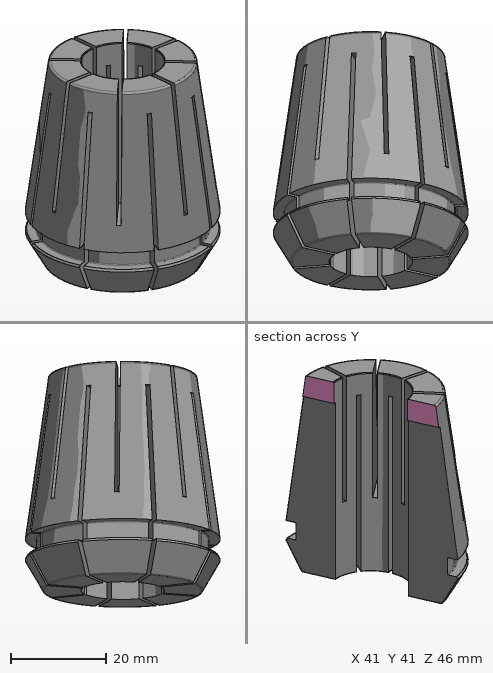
import cadquery as cq
import math

length = 46.0
outer_diameter = 41.0
bore_diameter = 17.5
bore_chamfer = 0.2
body_base_z = 11.05
body_taper_angle = 8.0
top_round_radius = 0.5
nose_angle = 30.0
nose_base_round = 0.4
nose_rim_height = 0.5
nose_rim_step = 0.28
groove_base_z = 7.05
groove_radius = 18.12
groove_fillet = 0.2
slot_width = 0.95
slots_per_end = 8
lower_slot_top_z = 40.95
upper_slot_floor_z = 17.0

max_radius = outer_diameter / 2
bore_radius = bore_diameter / 2
nose_rim_z = groove_base_z - nose_rim_height
nose_base_radius = max_radius - nose_rim_z * math.tan(math.radians(nose_angle))
taper_end_radius = max_radius - (length - body_base_z) * math.tan(math.radians(body_taper_angle))
groove_box = groove_radius + groove_fillet
slot_pitch = 360.0 / slots_per_end


def collet_blank():
    """Revolve the bored collet with its tapers and clamping groove, then round its edges."""
    blank = (
        cq.Workplane("XZ")
        .moveTo(bore_radius, 0)
        .lineTo(nose_base_radius, 0)
        .lineTo(max_radius, nose_rim_z)
        .lineTo(max_radius - nose_rim_step, groove_base_z)
        .lineTo(groove_radius, groove_base_z)
        .lineTo(groove_radius, body_base_z)
        .lineTo(max_radius, body_base_z)
        .lineTo(taper_end_radius, length)
        .lineTo(bore_radius + bore_chamfer, length)
        .lineTo(bore_radius, length - bore_chamfer)
        .close()
        .revolve(360, (0, 0, 0), (0, 1, 0))
    )
    outermost = cq.selectors.RadiusNthSelector(-1)
    blank = blank.faces(">Z").edges(outermost).fillet(top_round_radius)
    blank = blank.faces("<Z").edges(outermost).fillet(nose_base_round)
    groove_corners = cq.selectors.BoxSelector(
        (-groove_box, -groove_box, groove_base_z - groove_fillet),
        (groove_box, groove_box, body_base_z + groove_fillet),
        boundingbox=True,
    )
    return blank.edges("%CIRCLE").edges(groove_corners).fillet(groove_fillet)


def slot_cutters(bottom_z, top_z, first_angle):
    """Radial slabs between two heights, evenly spaced around the bore axis."""
    slab = (
        cq.Workplane("XY", origin=(0, 0, bottom_z))
        .rect(outer_diameter + slot_width, slot_width)
        .extrude(top_z - bottom_z)
    )
    cutters = slab.rotate((0, 0, 0), (0, 0, 1), first_angle)
    for index in range(1, slots_per_end // 2):
        angle = first_angle + index * slot_pitch
        cutters = cutters.union(slab.rotate((0, 0, 0), (0, 0, 1), angle))
    return cutters


lower_slots = slot_cutters(0, lower_slot_top_z, 0)
upper_slots = slot_cutters(upper_slot_floor_z, length, slot_pitch / 2)
result = collet_blank().cut(lower_slots).cut(upper_slots)